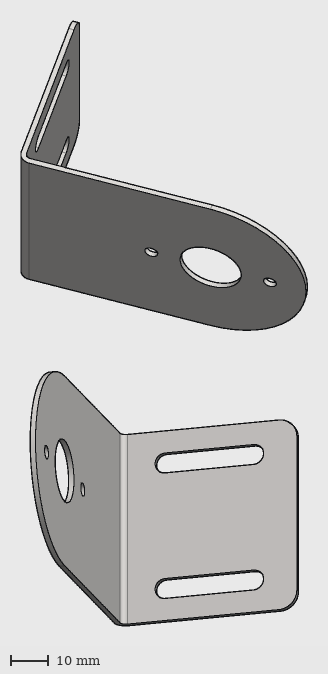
import cadquery as cq

length = 80.0
depth = 50.0
height = 53.0
thickness = 1.5
bend_outer_radius = 2 * thickness

end_radius = height / 2
bore_x = length - end_radius
bore_diameter = 17.0
screw_diameter = 3.5
screw_offset = 16.5

corner_radius = 5.0
slot_length = 30.0
slot_width = 5.5
slot_center_y = 25.8
slot_spacing = 35.0


def bent_sheet():
    """L-shaped sheet centred on Z = 0, with concentric bend radii."""
    outline = (
        cq.Workplane("XY")
        .moveTo(bend_outer_radius, 0)
        .lineTo(length, 0)
        .lineTo(length, thickness)
        .lineTo(bend_outer_radius, thickness)
        .radiusArc((thickness, bend_outer_radius), bend_outer_radius - thickness)
        .lineTo(thickness, depth)
        .lineTo(0, depth)
        .lineTo(0, bend_outer_radius)
        .radiusArc((bend_outer_radius, 0), -bend_outer_radius)
        .close()
    )
    return outline.extrude(height / 2, both=True)


def long_flange_envelope():
    """Block as deep as the bracket, rounded at +X to shape the long flange."""
    return (
        cq.Workplane("XZ")
        .moveTo(0, -end_radius)
        .lineTo(bore_x, -end_radius)
        .threePointArc((length, 0), (bore_x, end_radius))
        .lineTo(0, end_radius)
        .close()
        .extrude(-depth)
    )


def long_flange_holes():
    """Central bore flanked by two screw holes."""
    workplane = cq.Workplane("XZ").center(bore_x, 0)
    bore = workplane.circle(bore_diameter / 2).extrude(-thickness)
    screws = (
        workplane.pushPoints([(-screw_offset, 0), (screw_offset, 0)])
        .circle(screw_diameter / 2)
        .extrude(-thickness)
    )
    return bore.union(screws)


def adjustment_slots():
    """Two parallel slots through the short flange."""
    return (
        cq.Workplane("YZ")
        .center(slot_center_y, 0)
        .pushPoints([(0, -slot_spacing / 2), (0, slot_spacing / 2)])
        .slot2D(slot_length, slot_width)
        .extrude(thickness)
    )


bracket = bent_sheet().intersect(long_flange_envelope())
bracket = bracket.faces(">Y").edges("|X").fillet(corner_radius)
result = bracket.cut(long_flange_holes()).cut(adjustment_slots())